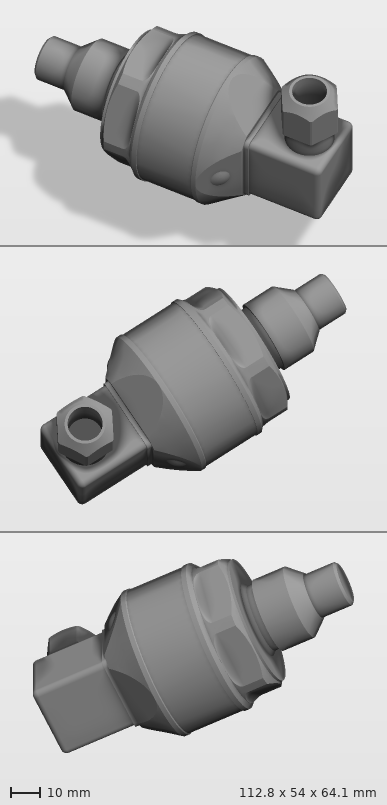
import cadquery as cq
import math


stem_diameter = 16.0
stem_tip_chamfer = 0.9

nose_start = 12.0
nose_tip_diameter = 17.2
nose_diameter = 26.4
nose_cone_end = 17.3
nose_end = 29.1
undercut_diameter = 24.0
undercut_end = 31.7

hex_start = 33.2
hex_face_diameter = 45.0
hex_face_land = 0.9
hex_chamfer_end = 36.1
hex_corner_diameter = 51.0
hex_flat_width = 46.0
hex_turn_angle = 1.0
hex_sides = 6
hex_flat_end = 43.2
hex_runout_radius = 2.8
hex_corner_end = 46.0
collar_diameter = 54.0
collar_start = 47.5
collar_end = 49.3

sleeve_diameter = 53.3
sleeve_bore_diameter = 50.0
sleeve_end = 70.1

rear_collar_chamfer = 0.3
rear_collar_end = 72.1
rear_end = 83.8
rear_end_diameter = 38.4
facet_slope = 45.0
facet_count = 4

dome_diameter = 7.0
dome_height = 0.9
dome_x = 78.4

gasket_end = 85.5
gasket_width = 27.5
gasket_corner_radius = 2.1
block_end = 112.6
block_width = 26.3
block_edge_radius = 2.0

gland_x = 102.1
neck_diameter = 17.2
nut_bottom = 21.1
nut_top = 37.1
nut_flat_width = 19.0
nut_corner_diameter = 21.4
nut_top_diameter = 14.0
nut_chamfer_height = 3.7
nut_bore_diameter = 12.0


def revolve_about_x(profile):
    """Revolve a closed outline of (x, radius) points about the X axis."""
    return cq.Workplane("XY").polyline(profile).close().revolve(360, (0, 0, 0), (1, 0, 0))


def make_stem():
    tip_radius = stem_diameter / 2 - stem_tip_chamfer
    return revolve_about_x([
        (0, 0),
        (0, tip_radius),
        (stem_tip_chamfer, stem_diameter / 2),
        (nose_start, stem_diameter / 2),
        (nose_start, 0),
    ])


def make_flat_cutter():
    """Cutter for one wrench flat, with a concave run-out towards the collar."""
    flat_height = hex_flat_width / 2
    cutter_top = collar_diameter / 2
    runout_center_height = flat_height + hex_runout_radius
    runout_mid = (
        hex_flat_end + hex_runout_radius * math.sin(math.radians(45)),
        runout_center_height - hex_runout_radius * math.cos(math.radians(45)),
    )
    runout_end = (hex_flat_end + hex_runout_radius, runout_center_height)
    return (
        cq.Workplane("XZ")
        .moveTo(hex_start, flat_height)
        .lineTo(hex_flat_end, flat_height)
        .threePointArc(runout_mid, runout_end)
        .lineTo(runout_end[0], cutter_top)
        .lineTo(hex_start, cutter_top)
        .close()
        .extrude(collar_diameter / 2, both=True)
    )


def make_front_body():
    nose_radius = nose_diameter / 2
    nose_tip_radius = nose_tip_diameter / 2
    undercut_radius = undercut_diameter / 2
    flare_radius = undercut_radius + hex_start - undercut_end
    core_radius = sleeve_bore_diameter / 2
    body = revolve_about_x([
        (nose_start, 0),
        (nose_start, nose_tip_radius),
        (nose_cone_end, nose_radius),
        (nose_end, nose_radius),
        (nose_end, undercut_radius),
        (undercut_end, undercut_radius),
        (hex_start, flare_radius),
        (hex_start, hex_face_diameter / 2),
        (hex_start + hex_face_land, hex_face_diameter / 2),
        (hex_chamfer_end, hex_corner_diameter / 2),
        (hex_corner_end, hex_corner_diameter / 2),
        (collar_start, collar_diameter / 2),
        (collar_end, collar_diameter / 2),
        (collar_end, core_radius),
        (sleeve_end, core_radius),
        (sleeve_end, 0),
    ])
    flat_cutter = make_flat_cutter()
    for index in range(hex_sides):
        body = body.cut(flat_cutter.rotate((0, 0, 0), (1, 0, 0), hex_turn_angle + 360 / hex_sides * index))
    return body


def make_sleeve():
    return (
        cq.Workplane("YZ", origin=(collar_end, 0, 0))
        .circle(sleeve_diameter / 2)
        .circle(sleeve_bore_diameter / 2)
        .extrude(sleeve_end - collar_end)
    )


def make_rear_housing():
    collar_radius = collar_diameter / 2
    housing = revolve_about_x([
        (sleeve_end, 0),
        (sleeve_end, collar_radius - rear_collar_chamfer),
        (sleeve_end + rear_collar_chamfer, collar_radius),
        (rear_collar_end, collar_radius),
        (rear_end, rear_end_diameter / 2),
        (rear_end, 0),
    ])
    facet_length = rear_end - rear_collar_end
    facet_drop = facet_length * math.tan(math.radians(facet_slope))
    facet_cutter = (
        cq.Workplane("XZ")
        .polyline([
            (rear_collar_end, collar_radius),
            (rear_end, collar_radius - facet_drop),
            (rear_end, collar_radius),
        ])
        .close()
        .extrude(collar_radius, both=True)
    )
    for index in range(facet_count):
        housing = housing.cut(facet_cutter.rotate((0, 0, 0), (1, 0, 0), 360 / facet_count * index))
    return housing


def make_dome(side):
    """Spherical cap on the facet at -Y (side = -1) or +Y (side = 1)."""
    slope = math.radians(facet_slope)
    facet_y = collar_diameter / 2 - (dome_x - rear_collar_end) * math.tan(slope)
    facet = cq.Plane(
        origin=(dome_x, side * facet_y, 0),
        xDir=(0, 0, 1),
        normal=(math.sin(slope), side * math.cos(slope), 0),
    )
    base_radius = dome_diameter / 2
    sphere_radius = (base_radius**2 + dome_height**2) / (2 * dome_height)
    sphere = cq.Workplane(facet).workplane(offset=dome_height - sphere_radius)
    above_facet = cq.Workplane(facet).circle(dome_diameter).extrude(dome_diameter)
    return sphere.sphere(sphere_radius).intersect(above_facet)


def make_gasket():
    return (
        cq.Workplane("YZ", origin=(rear_end, 0, 0))
        .rect(gasket_width, gasket_width)
        .extrude(gasket_end - rear_end)
        .edges("|X")
        .fillet(gasket_corner_radius)
    )


def make_connector_block():
    block = (
        cq.Workplane("YZ", origin=(gasket_end, 0, 0))
        .rect(block_width, block_width)
        .extrude(block_end - gasket_end)
        .edges("|X or >X")
        .fillet(block_edge_radius)
    )
    neck = (
        cq.Workplane("XY", origin=(gland_x, 0, 0))
        .circle(neck_diameter / 2)
        .extrude(nut_bottom)
    )
    return block.union(neck)


def make_gland_nut():
    corner_radius = nut_corner_diameter / 2
    envelope = (
        cq.Workplane("XZ")
        .polyline([
            (nut_bore_diameter / 2, nut_bottom),
            (corner_radius, nut_bottom),
            (corner_radius, nut_top - nut_chamfer_height),
            (nut_top_diameter / 2, nut_top),
            (nut_bore_diameter / 2, nut_top),
        ])
        .close()
        .revolve(360, (0, 0, 0), (0, 1, 0))
    )
    hexagon = (
        cq.Workplane("XY", origin=(0, 0, nut_bottom))
        .polygon(hex_sides, nut_flat_width, circumscribed=True)
        .extrude(nut_top - nut_bottom)
    )
    hexagon = hexagon.rotate((0, 0, 0), (0, 0, 1), 180 / hex_sides)
    return envelope.intersect(hexagon).translate((gland_x, 0, 0))


stem = make_stem()
front_body = make_front_body()
sleeve = make_sleeve()
rear_housing = make_rear_housing()
domes = [make_dome(side) for side in (-1, 1)]
gasket = make_gasket()
connector_block = make_connector_block()
gland_nut = make_gland_nut()

result = cq.Compound.makeCompound([
    stem.val(),
    front_body.val(),
    sleeve.val(),
    rear_housing.val(),
    *[dome.val() for dome in domes],
    gasket.val(),
    connector_block.val(),
    gland_nut.val(),
])